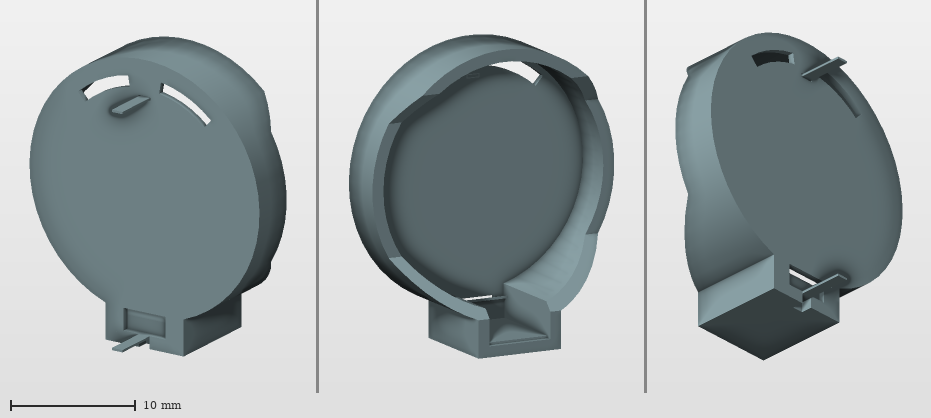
import cadquery as cq
import math


height = 24.5
outer_radius = 11.0
cavity_radius = 10.0
floor_thickness = 0.55
rim_depth = 4.0
crown_depth = 6.0
block_depth = 8.5
block_width = 7.5
block_bottom = outer_radius - height
slope_start = 5.51
crown_slope_end = 8.0
block_slope_end = math.sqrt(outer_radius ** 2 - (block_width / 2) ** 2)

slot_inner_radius = 8.5
slot_outer_radius = 9.5
slot_start_angle = 9.5
slot_end_angle = 42.0

sheet_thickness = 0.2
pin_width = 1.0
pin_length = 4.0
upper_pin_z = 7.75
pin_clearance = 0.07

contact_width = 5.51
contact_top = -12.4
contact_bottom = contact_top - sheet_thickness
contact_depth = 8.0
window_width = 4.0
window_top = -10.45
bend_start = -11.2
bend_radius = 0.7
relief_depth = 1.0


def box(width, y_min, y_max, z_min, z_max):
    """Box centred on x = 0."""
    return cq.Workplane("XY").box(width, y_max - y_min, z_max - z_min).translate(
        (0, (y_min + y_max) / 2, (z_min + z_max) / 2)
    )


def disc(radius, y_min, y_max):
    """Cylinder about the Y axis."""
    return cq.Workplane("XZ", origin=(0, y_min, 0)).circle(radius).extrude(y_min - y_max)


def polar(radius, angle):
    """XZ point at an angle from +Z towards +X."""
    return (radius * math.sin(math.radians(angle)), radius * math.cos(math.radians(angle)))


def curved_slot(start_angle, end_angle):
    middle_angle = (start_angle + end_angle) / 2
    return (
        cq.Workplane("XZ")
        .moveTo(*polar(slot_inner_radius, start_angle))
        .lineTo(*polar(slot_outer_radius, start_angle))
        .threePointArc(polar(slot_outer_radius, middle_angle), polar(slot_outer_radius, end_angle))
        .lineTo(*polar(slot_inner_radius, end_angle))
        .threePointArc(polar(slot_inner_radius, middle_angle), polar(slot_inner_radius, start_angle))
        .close()
        .extrude(-floor_thickness)
    )


def make_blank():
    """Round body with a terminal block below, cut to the stepped side profile."""
    outline = disc(outer_radius, 0, block_depth).union(
        box(block_width, 0, block_depth, block_bottom, -cavity_radius)
    )
    side_profile = (
        cq.Workplane("YZ")
        .polyline([
            (0, block_bottom),
            (block_depth, block_bottom),
            (block_depth, -block_slope_end),
            (rim_depth, -slope_start),
            (rim_depth, slope_start),
            (crown_depth, crown_slope_end),
            (crown_depth, outer_radius),
            (0, outer_radius),
        ])
        .close()
        .extrude(outer_radius, both=True)
    )
    return outline.intersect(side_profile)


def make_housing():
    housing = make_blank().cut(disc(cavity_radius, floor_thickness, block_depth))

    for side in (-1, 1):
        housing = housing.cut(curved_slot(side * slot_start_angle, side * slot_end_angle))

    housing = housing.cut(box(
        pin_width + 2 * pin_clearance, 0, floor_thickness,
        upper_pin_z - sheet_thickness / 2 - pin_clearance,
        upper_pin_z + sheet_thickness / 2 + pin_clearance,
    ))

    housing = housing.cut(
        box(contact_width, floor_thickness, block_depth, contact_bottom, -slope_start)
    )
    housing = housing.cut(box(contact_width, 0, floor_thickness, contact_bottom, contact_top))

    housing = housing.cut(box(window_width, 0, floor_thickness, contact_top, window_top))
    return housing.cut(box(pin_width, 0, relief_depth, block_bottom, contact_bottom))


def make_upper_pin():
    half_thickness = sheet_thickness / 2
    return box(
        pin_width, -pin_length, floor_thickness,
        upper_pin_z - half_thickness, upper_pin_z + half_thickness,
    )


def make_lower_contact():
    """Flat plate with a solder pin and an upright leg whose top bends towards +Y."""
    plate = box(contact_width, 0, contact_depth, contact_bottom, contact_top)
    pin = box(pin_width, -pin_length, 0, contact_bottom, contact_top)

    leg_front = floor_thickness
    leg_back = leg_front + sheet_thickness
    bend_y = leg_front + bend_radius
    inner_radius = bend_radius - sheet_thickness
    diagonal = math.sqrt(0.5)
    leg = (
        cq.Workplane("YZ")
        .moveTo(leg_front, contact_top)
        .lineTo(leg_front, bend_start)
        .threePointArc(
            (bend_y - bend_radius * diagonal, bend_start + bend_radius * diagonal),
            (bend_y, bend_start + bend_radius),
        )
        .lineTo(bend_y, bend_start + inner_radius)
        .threePointArc(
            (bend_y - inner_radius * diagonal, bend_start + inner_radius * diagonal),
            (leg_back, bend_start),
        )
        .lineTo(leg_back, contact_top)
        .close()
        .extrude(contact_width / 2, both=True)
    )
    return plate.union(pin).union(leg)


housing = make_housing()
upper_pin = make_upper_pin()
lower_contact = make_lower_contact()

result = cq.Compound.makeCompound([
    housing.solids().val(),
    upper_pin.solids().val(),
    lower_contact.solids().val(),
])